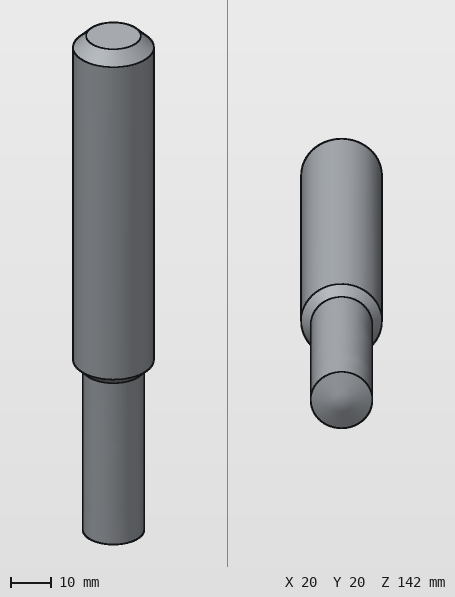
import cadquery as cq

total_length = 142.0
body_diameter = 20.0
top_chamfer = 3.25
pin_length = 47.9
pin_tip_diameter = 15.25
pin_neck_diameter = 15.2
tip_height = 2.2

body_radius = body_diameter / 2
body_top_radius = body_radius - top_chamfer
pin_tip_radius = pin_tip_diameter / 2
pin_neck_radius = pin_neck_diameter / 2

shoulder_chamfer = body_radius - pin_neck_radius
body_bottom_z = pin_length
shoulder_z = body_bottom_z + shoulder_chamfer
top_chamfer_z = total_length - top_chamfer


def revolve_profile(points):
    """Revolve a closed (radius, height) outline a full turn about the Z axis."""
    outline = cq.Workplane("XZ").polyline(points).close()
    return outline.revolve(360, (0, 0, 0), (0, 1, 0))


def make_body():
    """Round bar with a chamfered top edge and a conical shoulder down to the neck of the pin."""
    return revolve_profile([
        (0, body_bottom_z),
        (pin_neck_radius, body_bottom_z),
        (body_radius, shoulder_z),
        (body_radius, top_chamfer_z),
        (body_top_radius, total_length),
        (0, total_length),
    ])


def make_pin():
    """Pin below the body, widening slightly from its neck and ending in a shallow conical point."""
    return revolve_profile([
        (0, 0),
        (pin_tip_radius, tip_height),
        (pin_neck_radius, body_bottom_z),
        (0, body_bottom_z),
    ])


body = make_body()
pin = make_pin()

result = cq.Compound.makeCompound([body.val(), pin.val()])